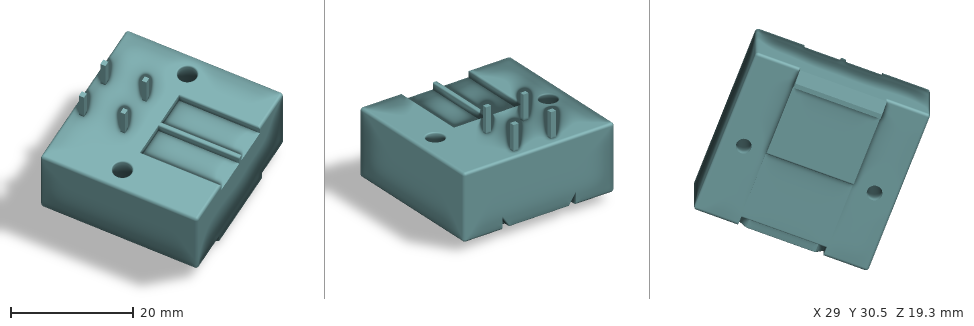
import cadquery as cq
import math

length = 29.0
width = 30.48
height = 12.8
overall_height = 19.3
edge_radius = 0.52
small_radius = 0.25
overlap = edge_radius

pin_length = 4.95
pin_depth_y = 1.05
pin_columns = [(1.98, 0.95), (9.57, 0.82)]
pin_rows_y = [3.6, -3.95]

channel_start_x = 14.08
channel_half_width = 6.8
channel_rim_radius = 0.3
channel_depth = 1.37
rib_width = 0.88
rib_end_radius = 0.12

hole_x = 13.17
hole_y = 11.43
hole_top_diameter = 3.32
hole_bottom_diameter = 2.55
hole_seat_z = height / 2

recess_half_width = 7.47
recess_depth = 1.52
notch_top_z = 2.32
tongue_bottom_z = 0.25
tongue_bottom_half_width = 6.05
tongue_radius = 0.18

latch_width = 15.2
latch_step_x = 13.3
latch_step_z = -0.12
latch_step_run = 0.27
latch_bottom_z = -0.8
hook_x = 26.0
hook_flat_end_x = 26.8
hook_bottom_z = height + pin_length - overall_height
hook_nose_z = -0.85
latch_corner_radius = 0.15


def arc_inset(radius):
    """Distance along each axis from the sharp corner to the middle of its rounding."""
    return radius * (1 - math.sqrt(0.5))


def make_housing():
    block = cq.Workplane("XY").box(length, width, height, centered=(False, True, False))
    return block.edges().fillet(edge_radius)


def make_channel():
    """Channel open at +X, with rounded upper rims along its length."""
    r = channel_rim_radius
    inset = arc_inset(r)
    floor_z = height - channel_depth
    outline = (
        cq.Workplane("YZ", origin=(channel_start_x, 0, 0))
        .moveTo(-channel_half_width, floor_z)
        .lineTo(-channel_half_width, height - r)
        .threePointArc(
            (-channel_half_width - inset, height - inset),
            (-channel_half_width - r, height),
        )
        .lineTo(channel_half_width + r, height)
        .threePointArc(
            (channel_half_width + inset, height - inset),
            (channel_half_width, height - r),
        )
        .lineTo(channel_half_width, floor_z)
        .close()
    )
    return outline.extrude(length - channel_start_x)


def make_rib():
    """Rib along the middle of the channel, rounded on top along its sides and free end."""
    floor_z = height - channel_depth
    rib = cq.Workplane("XY", origin=(channel_start_x, 0, floor_z)).box(
        length - channel_start_x, rib_width, channel_depth, centered=(False, True, False)
    )
    rib = rib.edges("|X and >Z").fillet(small_radius)
    return rib.faces(">X").edges(">Z").fillet(rib_end_radius)


def make_hole(y):
    """Stepped hole with a 45 degree seat and a rounded rim at the top."""
    top_radius = hole_top_diameter / 2
    bottom_radius = hole_bottom_diameter / 2
    r = small_radius
    inset = arc_inset(r)
    return (
        cq.Workplane("XZ", origin=(hole_x, y, 0))
        .moveTo(0, 0)
        .lineTo(bottom_radius, 0)
        .lineTo(bottom_radius, hole_seat_z)
        .lineTo(top_radius, hole_seat_z + top_radius - bottom_radius)
        .lineTo(top_radius, height - r)
        .threePointArc((top_radius + inset, height - inset), (top_radius + r, height))
        .lineTo(0, height)
        .close()
        .revolve(360, (0, 0, 0), (0, 1, 0))
    )


def make_tongue():
    """Block flaring upwards between the notches, rounded where it meets the -X face."""
    flare = (recess_half_width - tongue_bottom_half_width) / (notch_top_z - tongue_bottom_z)
    tongue_height = 2 * notch_top_z
    top_half_width = tongue_bottom_half_width + flare * tongue_height
    top_z = tongue_bottom_z + tongue_height
    block = (
        cq.Workplane("YZ")
        .polyline([
            (-tongue_bottom_half_width, tongue_bottom_z),
            (tongue_bottom_half_width, tongue_bottom_z),
            (top_half_width, top_z),
            (-top_half_width, top_z),
        ])
        .close()
        .extrude(2 * recess_depth)
    )
    return block.faces("<X").edges("not >Z").fillet(tongue_radius)


def make_recess():
    """Space around the tongue, with the lower rim of its end wall rounded."""
    r = small_radius
    inset = arc_inset(r)
    top_z = notch_top_z + edge_radius
    space = (
        cq.Workplane("XZ")
        .moveTo(0, 0)
        .lineTo(recess_depth + r, 0)
        .threePointArc((recess_depth + inset, inset), (recess_depth, r))
        .lineTo(recess_depth, top_z)
        .lineTo(0, top_z)
        .close()
        .extrude(recess_half_width, both=True)
    )
    return space.cut(make_tongue())


def make_latch():
    """Plate that slopes gently down from the recess, steps lower and ends in a hook at +X."""
    latch_start_x = recess_depth + small_radius
    plate = (
        cq.Workplane("XZ")
        .polyline([
            (latch_start_x, 0),
            (latch_step_x, latch_step_z),
            (latch_step_x + latch_step_run, latch_bottom_z),
            (hook_x, latch_bottom_z),
            (hook_x, hook_bottom_z),
            (hook_flat_end_x, hook_bottom_z),
            (length, hook_nose_z),
            (length, overlap),
            (latch_start_x, overlap),
        ])
        .close()
        .extrude(latch_width / 2, both=True)
    )
    step_foot = cq.selectors.NearestToPointSelector((latch_step_x + latch_step_run, 0, latch_bottom_z))
    plate = plate.edges("|Y").edges(step_foot).fillet(small_radius)
    return plate.faces(">X").edges("|Z").fillet(latch_corner_radius)


def make_pin(x, size_x, y):
    pin = cq.Workplane("XY", origin=(x, y, height - overlap))
    return pin.rect(size_x, pin_depth_y).extrude(pin_length + overlap)


result = make_housing().cut(make_recess()).cut(make_channel()).union(make_rib())
for y in (hole_y, -hole_y):
    result = result.cut(make_hole(y))
result = result.union(make_latch())
for x, size_x in pin_columns:
    for y in pin_rows_y:
        result = result.union(make_pin(x, size_x, y))